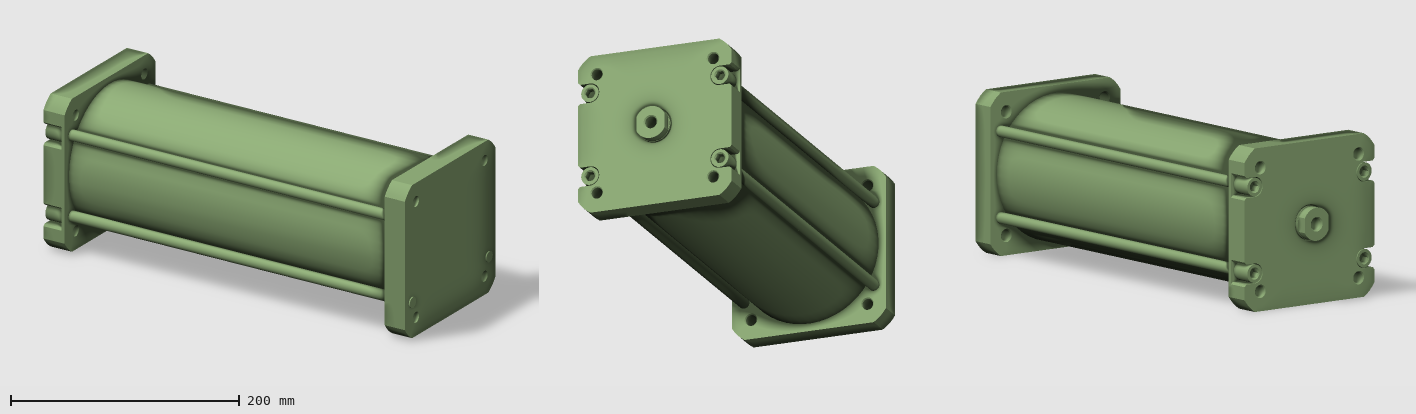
import cadquery as cq
import math

NOSE_LENGTH = 10.0
FRONT_CAP_LENGTH = 22.0
BARREL_LENGTH = 333.5
REAR_CAP_LENGTH = 21.0
TOTAL_LENGTH = 388.0

FRONT_CAP_X = NOSE_LENGTH
BARREL_X = FRONT_CAP_X + FRONT_CAP_LENGTH
REAR_CAP_X = BARREL_X + BARREL_LENGTH
REAR_FACE_X = REAR_CAP_X + REAR_CAP_LENGTH

CAP_SIZE = 145.0
CORNER_CUT = 11.5
CORNER_BULGE = 0.97
MOUNT_PITCH = 109.8
MOUNT_RADIUS = 5.0
MOUNT_CHAMFER = 0.97

BARREL_RADIUS = 65.5

ROD_RADIUS = 15.0
ROD_HOLE_CHAMFER = 1.0
NOSE_RADIUS = 14.7
NOSE_SHOULDER_X = 9.0
FLAT_OFFSET = 13.0
FLAT_LENGTH = 8.0
NOSE_HOLE_RADIUS = 5.5
NOSE_HOLE_CHAMFER = 1.0
NOSE_HOLE_DEPTH = 23.3
DRILL_POINT_ANGLE = 118.0

TIE_Y = 61.3
TIE_Z = 38.5
TIE_RADIUS = 5.0
HEAD_RADIUS = 8.0
SLOT_RADIUS = 9.0
SLOT_DEPTH = 19.0
SLOT_MOUTH_CHAMFER = 2.0
HEAD_LENGTH = SLOT_DEPTH
SOCKET_FLATS = 8.0
SOCKET_MOUTH_RADIUS = 5.5
SOCKET_DEPTH = 7.8

HALF_CAP = CAP_SIZE / 2
TIE_POSITIONS = [(side * TIE_Y, level * TIE_Z) for side in (-1, 1) for level in (-1, 1)]


def cylinder(x_start, length, radius, y=0.0, z=0.0):
    """Cylinder along +X that starts at x_start."""
    plane = cq.Workplane("YZ", origin=(x_start, y, z))
    return plane.circle(radius).extrude(length)


def cone(x_start, length, start_radius, end_radius, y=0.0, z=0.0):
    """Cone or frustum along +X that starts at x_start."""
    solid = cq.Solid.makeCone(
        start_radius, end_radius, length, cq.Vector(x_start, y, z), cq.Vector(1, 0, 0)
    )
    return cq.Workplane(obj=solid)


def countersunk_cutter(x_start, length, radius, chamfer, y=0.0, z=0.0):
    """Hole cutter whose mouth at x_start has a 45 degree chamfer."""
    mouth = cone(x_start, chamfer, radius + chamfer, radius, y, z)
    return cylinder(x_start, length, radius, y, z).union(mouth)


def make_plate(x_start, length):
    """Square plate whose corners are shallow convex arcs."""
    straight_end = HALF_CAP - CORNER_CUT
    arc_middle = HALF_CAP - CORNER_CUT / 2 + CORNER_BULGE * math.sqrt(0.5)
    return (
        cq.Workplane("YZ", origin=(x_start, 0, 0))
        .moveTo(straight_end, HALF_CAP)
        .threePointArc((arc_middle, arc_middle), (HALF_CAP, straight_end))
        .lineTo(HALF_CAP, -straight_end)
        .threePointArc((arc_middle, -arc_middle), (straight_end, -HALF_CAP))
        .lineTo(-straight_end, -HALF_CAP)
        .threePointArc((-arc_middle, -arc_middle), (-HALF_CAP, -straight_end))
        .lineTo(-HALF_CAP, straight_end)
        .threePointArc((-arc_middle, arc_middle), (-straight_end, HALF_CAP))
        .close()
        .extrude(length)
    )


def make_blank_cap(x_start, length):
    """Plate with mounting holes and tie rod holes."""
    cap = make_plate(x_start, length)
    for side in (-1, 1):
        for level in (-1, 1):
            y = side * MOUNT_PITCH / 2
            z = level * MOUNT_PITCH / 2
            cap = cap.cut(countersunk_cutter(x_start, length, MOUNT_RADIUS, MOUNT_CHAMFER, y, z))
    for y, z in TIE_POSITIONS:
        cap = cap.cut(cylinder(x_start, length, TIE_RADIUS, y, z))
    return cap


def make_slot_cutter(y, z):
    """Head slot open to the nearest side face, with chamfered mouth edges."""
    side = math.copysign(1, y)
    mouth = side * (HALF_CAP - abs(y))
    straight_end = mouth - side * SLOT_MOUTH_CHAMFER
    half_mouth = SLOT_RADIUS + SLOT_MOUTH_CHAMFER
    return (
        cq.Workplane("YZ", origin=(FRONT_CAP_X, y, z))
        .moveTo(0, SLOT_RADIUS)
        .lineTo(straight_end, SLOT_RADIUS)
        .lineTo(mouth, half_mouth)
        .lineTo(mouth, -half_mouth)
        .lineTo(straight_end, -SLOT_RADIUS)
        .lineTo(0, -SLOT_RADIUS)
        .threePointArc((-side * SLOT_RADIUS, 0), (0, SLOT_RADIUS))
        .close()
        .extrude(SLOT_DEPTH)
    )


def make_front_cap():
    cap = make_blank_cap(FRONT_CAP_X, FRONT_CAP_LENGTH)
    for y, z in TIE_POSITIONS:
        cap = cap.cut(make_slot_cutter(y, z))
    return cap.cut(countersunk_cutter(FRONT_CAP_X, FRONT_CAP_LENGTH, ROD_RADIUS, ROD_HOLE_CHAMFER))


def make_rear_cap():
    return make_blank_cap(REAR_CAP_X, REAR_CAP_LENGTH)


def make_barrel():
    return cylinder(BARREL_X, BARREL_LENGTH, BARREL_RADIUS)


def make_piston_rod():
    """Rod through the front cap, with two wrench flats and a drilled nose."""
    flat_end = cq.Workplane("YZ").rect(2 * FLAT_OFFSET, 2 * NOSE_RADIUS).extrude(FLAT_LENGTH)
    nose = cylinder(0, FLAT_LENGTH, NOSE_RADIUS).intersect(flat_end)
    neck = cylinder(FLAT_LENGTH, NOSE_SHOULDER_X - FLAT_LENGTH, NOSE_RADIUS)
    body = cylinder(NOSE_SHOULDER_X, BARREL_X - NOSE_SHOULDER_X, ROD_RADIUS)
    rod = nose.union(neck).union(body)
    point_length = NOSE_HOLE_RADIUS / math.tan(math.radians(DRILL_POINT_ANGLE / 2))
    rod = rod.cut(countersunk_cutter(0, NOSE_HOLE_DEPTH, NOSE_HOLE_RADIUS, NOSE_HOLE_CHAMFER))
    return rod.cut(cone(NOSE_HOLE_DEPTH, point_length, NOSE_HOLE_RADIUS, 0))


def make_socket_cutter(x_start, y, z):
    """Hexagon socket whose mouth narrows from a circle to the flats."""
    flat_radius = SOCKET_FLATS / 2
    corner_diameter = SOCKET_FLATS / math.cos(math.pi / 6)
    hexagon = cq.Workplane("YZ", origin=(x_start, y, z)).polygon(6, corner_diameter).extrude(SOCKET_DEPTH)
    mouth_depth = SOCKET_MOUTH_RADIUS - flat_radius
    return hexagon.union(cone(x_start, mouth_depth, SOCKET_MOUTH_RADIUS, flat_radius, y, z))


def make_tie_rod(y, z):
    """Rod seated on the slot floor, with a hexagon socket in its head; only lower rods protrude."""
    seat_x = FRONT_CAP_X + SLOT_DEPTH
    head_x = seat_x - HEAD_LENGTH
    end_x = TOTAL_LENGTH if z < 0 else REAR_FACE_X
    rod = cylinder(seat_x, end_x - seat_x, TIE_RADIUS, y, z)
    rod = rod.union(cylinder(head_x, HEAD_LENGTH, HEAD_RADIUS, y, z))
    return rod.cut(make_socket_cutter(head_x, y, z))


front_cap = make_front_cap()
rear_cap = make_rear_cap()
barrel = make_barrel()
piston_rod = make_piston_rod()
tie_rods = [make_tie_rod(y, z) for y, z in TIE_POSITIONS]

result = cq.Compound.makeCompound(
    [
        front_cap.val(),
        rear_cap.val(),
        barrel.val(),
        piston_rod.val(),
        *[rod.val() for rod in tie_rods],
    ]
)